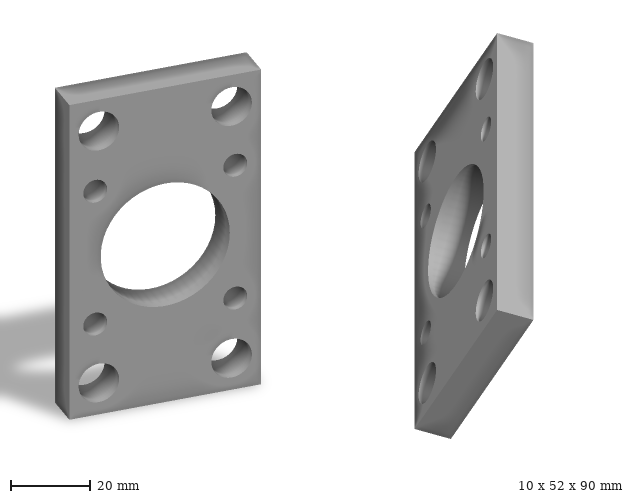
import cadquery as cq

thickness = 10.0
width = 52.0
height = 90.0

bore_diameter = 35.0
corner_hole_diameter = 11.0
corner_spacing_y = 36.0
corner_spacing_z = 72.0
inner_hole_diameter = 6.5
inner_spacing = 38.0


def drill_rectangle(body, spacing_y, spacing_z, diameter):
    """Drill four through holes at the corners of a centred rectangle."""
    return (
        body.faces("<X")
        .workplane(centerOption="CenterOfBoundBox")
        .rect(spacing_y, spacing_z, forConstruction=True)
        .vertices()
        .hole(diameter)
    )


plate = cq.Workplane("XY").box(thickness, width, height)
plate = plate.faces("<X").workplane().hole(bore_diameter)
plate = drill_rectangle(plate, corner_spacing_y, corner_spacing_z, corner_hole_diameter)
result = drill_rectangle(plate, inner_spacing, inner_spacing, inner_hole_diameter)